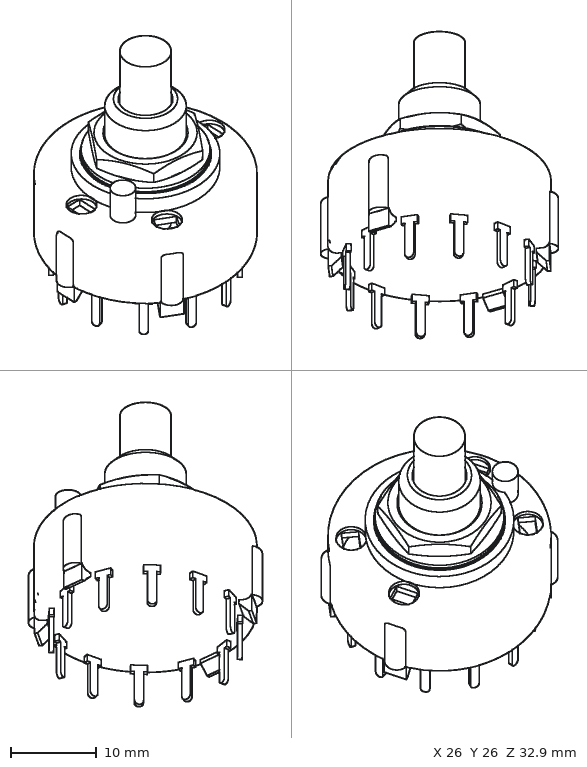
import cadquery as cq

base_z = 5.35
housing_top_z = 15.9
boss_top_z = 17.9
washer_top_z = 18.55
nut_top_z = 20.95
bushing_top_z = 25.93
shaft_top_z = 32.9

housing_diameter = 26.0
edge_radius = 1.0

boss_diameter = 17.3
washer_diameter = 15.0
washer_recess_diameter = 15.3
washer_recess_depth = 0.33
washer_lift = 0.1
washer_seat_diameter = 14.87
bushing_diameter = 9.5
bushing_chamfer = 1.02

nut_corner_diameter = 14.38
nut_face_diameter = 12.0
nut_corner_drop = 0.55
nut_turn = -6.2
nut_bore_chamfer = 0.2

shaft_diameter = 6.0
bore_diameter = 6.35

post_diameter = 3.0
post_offset = 9.5
post_top_z = 19.87

station_angles = [60, 120, 240, 300]
window_distance = 10.33
window_diameter = 3.55
window_depth = 0.53
slot_length = 2.7
slot_width = 2.0
rib_diameter = 2.83
rib_distance = 12.45
rib_bottom_z = 5.95
rib_top_z = 12.9
rib_edge_radius = 0.53
foot_bottom_z = 3.72
foot_face_distance = 12.9
foot_width = rib_diameter
foot_thickness = 1.55
foot_bevel = 1.15

roof_thickness = 1.38
chamber_ceiling_z = housing_top_z - roof_thickness
chamber_floor_z = 7.9
chamber_diameter = housing_diameter - 2 * edge_radius

pin_count = 12
pin_first_angle = 15
pin_distance = 11.0
pin_width = 1.1
pin_thickness = 0.55
pin_shoulder_width = 1.97
pin_shoulder_height = 0.9
pin_overlap = 0.33


def disc(diameter, bottom_z, top_z):
    """Upright cylinder on the main axis."""
    return cq.Workplane("XY").workplane(offset=bottom_z).circle(diameter / 2).extrude(top_z - bottom_z)


def at_angle(shape, angle):
    """Turn a shape built on the +X side about the main axis."""
    return shape.rotate((0, 0, 0), (0, 0, 1), angle)


def make_window():
    """Round counterbore with a tangential slot through the rest of the roof."""
    counterbore = disc(window_diameter, housing_top_z - window_depth, housing_top_z)
    slot = (
        cq.Workplane("XY")
        .workplane(offset=chamber_ceiling_z)
        .rect(slot_width, slot_length)
        .extrude(roof_thickness)
    )
    return counterbore.union(slot).translate((window_distance, 0, 0))


def make_rib():
    """Half-sunk upright rib with a rounded top rim."""
    rib = disc(rib_diameter, rib_bottom_z, rib_top_z).faces(">Z").edges().fillet(rib_edge_radius)
    return rib.translate((rib_distance, 0, 0))


def make_foot():
    """Block below a rib, bevelled on the side that faces the main axis."""
    inner_face = foot_face_distance - foot_thickness
    return (
        cq.Workplane("XZ")
        .moveTo(foot_face_distance, foot_bottom_z)
        .lineTo(foot_face_distance, rib_bottom_z)
        .lineTo(inner_face, rib_bottom_z)
        .lineTo(inner_face, foot_bottom_z + foot_bevel)
        .lineTo(inner_face + foot_bevel, foot_bottom_z)
        .close()
        .extrude(foot_width / 2, both=True)
    )


def make_can():
    """Round can with rounded rims, ribs and feet on its wall and a windowed chamber inside."""
    can = disc(housing_diameter, base_z, housing_top_z)
    can = can.faces("<Z or >Z").edges().fillet(edge_radius)
    for angle in station_angles:
        can = can.union(at_angle(make_foot(), angle)).union(at_angle(make_rib(), angle))
    can = can.cut(disc(chamber_diameter, chamber_floor_z, chamber_ceiling_z))
    for angle in station_angles:
        can = can.cut(at_angle(make_window(), angle))
    return can


def make_pin():
    """Flat terminal with a wide shoulder and a round tip."""
    tip_radius = pin_width / 2
    half_shoulder = pin_shoulder_width / 2
    shoulder_z = base_z - pin_shoulder_height
    root_z = base_z + pin_overlap
    return (
        cq.Workplane("YZ")
        .workplane(offset=pin_distance)
        .moveTo(-tip_radius, tip_radius)
        .threePointArc((0, 0), (tip_radius, tip_radius))
        .lineTo(tip_radius, shoulder_z)
        .lineTo(half_shoulder, shoulder_z)
        .lineTo(half_shoulder, root_z)
        .lineTo(-half_shoulder, root_z)
        .lineTo(-half_shoulder, shoulder_z)
        .lineTo(-tip_radius, shoulder_z)
        .close()
        .extrude(pin_thickness / 2, both=True)
    )


def make_nut():
    """Hexagonal nut with conical corners on both faces and a chamfered mouth."""
    height = nut_top_z - washer_top_z
    face_radius = nut_face_diameter / 2
    corner_radius = nut_corner_diameter / 2
    mouth_radius = bushing_diameter / 2 + nut_bore_chamfer
    hexagon = cq.Workplane("XY").polygon(6, nut_corner_diameter).extrude(height)
    envelope = (
        cq.Workplane("XZ")
        .lineTo(face_radius, 0)
        .lineTo(corner_radius, nut_corner_drop)
        .lineTo(corner_radius, height - nut_corner_drop)
        .lineTo(face_radius, height)
        .lineTo(mouth_radius, height)
        .lineTo(mouth_radius - nut_bore_chamfer, height - nut_bore_chamfer)
        .lineTo(0, height - nut_bore_chamfer)
        .close()
        .revolve(360, (0, 0, 0), (0, 1, 0))
    )
    return at_angle(hexagon.intersect(envelope), nut_turn).translate((0, 0, washer_top_z))


def make_housing():
    """Can with its boss, seat, washer, nut, bushing, post and terminals."""
    housing = make_can()

    recess_floor_z = boss_top_z - washer_recess_depth
    boss = disc(boss_diameter, housing_top_z, boss_top_z)
    boss = boss.cut(disc(washer_recess_diameter, recess_floor_z, boss_top_z))
    washer_bottom_z = boss_top_z + washer_lift
    seat = disc(washer_seat_diameter, recess_floor_z, washer_bottom_z)
    washer = disc(washer_diameter, washer_bottom_z, washer_top_z)
    bushing = disc(bushing_diameter, washer_top_z, bushing_top_z).faces(">Z").edges().chamfer(bushing_chamfer)
    post = disc(post_diameter, housing_top_z, post_top_z).translate((0, -post_offset, 0))
    for part in (boss, seat, washer, make_nut(), bushing, post):
        housing = housing.union(part)

    for index in range(pin_count):
        angle = pin_first_angle + index * 360 / pin_count
        housing = housing.union(at_angle(make_pin(), angle))

    return housing.cut(disc(bore_diameter, chamber_ceiling_z, bushing_top_z))


def make_shaft():
    """Plain round shaft through the bore, standing on the chamber floor."""
    return disc(shaft_diameter, chamber_floor_z, shaft_top_z)


housing = make_housing()
shaft = make_shaft()
result = cq.Compound.makeCompound([housing.val(), shaft.val()])